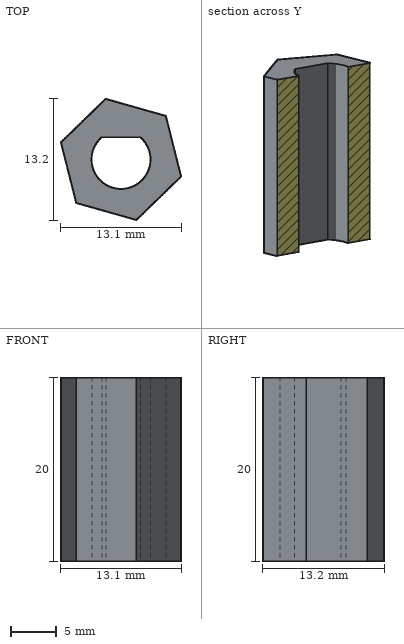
import cadquery as cq
import math

LENGTH = 20.0
ACROSS_FLATS = 11.8
HEX_TURN = -15.81
BORE_RADIUS = 3.2
FLAT_OFFSET = 2.4

HEX_SIDES = 6
corner_diameter = ACROSS_FLATS / math.cos(math.pi / HEX_SIDES)
flat_half_width = math.sqrt(BORE_RADIUS**2 - FLAT_OFFSET**2)


def hex_body():
    """Hexagonal bar standing on the XY plane, turned about its axis."""
    bar = cq.Workplane("XY").polygon(HEX_SIDES, corner_diameter).extrude(LENGTH)
    return bar.rotate((0, 0, 0), (0, 0, 1), HEX_TURN)


def d_bore():
    """D-shaped through bore: a round hole with one flat on the +Y side."""
    return (
        cq.Workplane("XY")
        .moveTo(-flat_half_width, FLAT_OFFSET)
        .lineTo(flat_half_width, FLAT_OFFSET)
        .threePointArc((0, -BORE_RADIUS), (-flat_half_width, FLAT_OFFSET))
        .close()
        .extrude(LENGTH)
    )


result = hex_body().cut(d_bore())